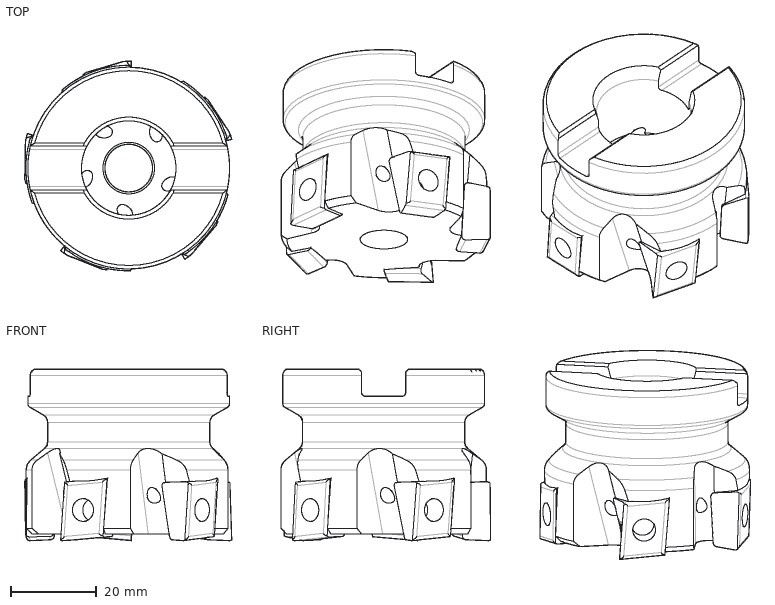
import cadquery as cq
import math

body_height = 38.5
body_radius = 24.0
body_bottom_chamfer = 1.35
shoulder_fillet = 3.0
shoulder_slope = 40.0
neck_radius = 18.95
neck_fillet = 2.0
neck_bottom = 21.55
flange_radius = 23.55
flange_slope = 30.0
flange_underside = 29.9
flange_edge_fillet = 1.0
flange_edge_inset = 0.85
flange_edge_drop = 1.4

bore_radius = 11.0
bore_depth = 20.55
bore_mouth_radius = 11.9
bore_mouth_depth = 3.6
bolt_hole_radius = 5.55
bolt_hole_chamfer = 0.5

slot_width = 10.25
slot_depth = 6.25
slot_floor_fillet = 0.8
slot_edge_chamfer = 0.7

tip_angles = [15.8, 88.8, 161.3, 230.7, 301.8]
face_offset = 17.8

seat_distance = 17.45
face_distance = 24.05
face_tilt = 0.8
land_width = 0.95
land_drop = 0.3
tip_y = -7.75
rake_y = -5.65
back_y = 2.85
edge_shift = 1.1
rake_shift = -3.35
insert_height = 13.65
insert_bottom = -1.55
end_slope = 5.0
end_fillet = 0.95
insert_hole_radius = 2.65
insert_hole_y = -1.95
insert_hole_z = 5.65

gullet_x = 14.9
gullet_y = -13.05
gullet_level = 13.45
gullet_top = 22.55
gullet_radius = 3.6
gullet_sweep = 102.0
gullet_wall_angle = 18.0
gullet_floor_turn = 11.0
gullet_lean = 14.0
gullet_reach = 19.6

coolant_radius = 1.45
coolant_inlet = cq.Vector(6.02, -8.42, body_height - bore_depth)
coolant_outlet = cq.Vector(16.2, -9.25, body_height - 30.35)


def polar(length, angle):
    """Plane coordinates of a point at a distance and an angle in degrees."""
    return (length * math.cos(math.radians(angle)), length * math.sin(math.radians(angle)))


def turned_body():
    """Solid of revolution: toothed end, waisted neck and flange."""
    shoulder_rise = (body_radius - neck_radius) * math.tan(math.radians(shoulder_slope))
    half_turn = math.radians((90 - shoulder_slope) / 2)
    neck_corner = neck_bottom - neck_fillet * math.tan(half_turn)
    shoulder_corner = neck_corner - shoulder_rise
    flange_rise = (flange_radius - neck_radius) * math.tan(math.radians(flange_slope))
    flange_neck_corner = flange_underside - flange_rise
    edge_radius = (flange_edge_inset**2 + flange_edge_drop**2) / (2 * flange_edge_inset)
    half_edge_turn = math.asin(flange_edge_drop / edge_radius) / 2
    edge_middle = (
        flange_radius - edge_radius * (1 - math.cos(half_edge_turn)),
        body_height - flange_edge_drop + edge_radius * math.sin(half_edge_turn),
    )
    turned = (
        cq.Workplane("XZ")
        .polyline([
            (0, 0),
            (body_radius - body_bottom_chamfer, 0),
            (body_radius, body_bottom_chamfer),
            (body_radius, shoulder_corner),
            (neck_radius, neck_corner),
            (neck_radius, flange_neck_corner),
            (flange_radius, flange_underside),
            (flange_radius, body_height - flange_edge_drop),
        ])
        .threePointArc(edge_middle, (flange_radius - flange_edge_inset, body_height))
        .lineTo(0, body_height)
        .close()
        .revolve(360, (0, 0, 0), (0, 1, 0))
    )

    def ring(radius, height):
        """Sharp circular edge of the turned body, the only one at its height."""
        reach = radius + 0.5
        slack = 0.05
        low = (-reach, -reach, height - slack)
        high = (reach, reach, height + slack)
        return turned.edges(cq.selectors.BoxSelector(low, high, boundingbox=True))

    turned = ring(body_radius, shoulder_corner).fillet(shoulder_fillet)
    turned = ring(neck_radius, neck_corner).fillet(neck_fillet)
    turned = ring(neck_radius, flange_neck_corner).fillet(neck_fillet)
    return ring(flange_radius, flange_underside).fillet(flange_edge_fillet)


def arbor_bore():
    """Arbor bore with a tapered mouth, and the bolt hole through its floor."""
    floor = body_height - bore_depth
    return (
        cq.Workplane("XZ")
        .polyline([
            (0, 0),
            (bolt_hole_radius, 0),
            (bolt_hole_radius, floor - bolt_hole_chamfer),
            (bolt_hole_radius + bolt_hole_chamfer, floor),
            (bore_radius, floor),
            (bore_radius, body_height - bore_mouth_depth),
            (bore_mouth_radius, body_height),
            (0, body_height),
        ])
        .close()
        .revolve(360, (0, 0, 0), (0, 1, 0))
    )


def drive_slot():
    """Slot across the flange, with rounded floor corners and 45 degree bevelled mouth."""
    length = 2 * body_radius
    slot = (
        cq.Workplane("XY", origin=(0, 0, body_height - slot_depth))
        .box(length, slot_width, slot_depth, centered=(True, True, False))
        .edges("|X and <Z")
        .fillet(slot_floor_fillet)
    )
    half_mouth = slot_width / 2 + slot_edge_chamfer
    mouth = (
        cq.Workplane("YZ", origin=(-length / 2, 0, 0))
        .polyline([
            (-half_mouth, body_height),
            (half_mouth, body_height),
            (0, body_height - half_mouth),
        ])
        .close()
        .extrude(length)
    )
    return slot.union(mouth)


def insert_outline(share):
    """Plan outline of the insert sides at a share of its height."""
    shift = edge_shift * share
    return [
        (seat_distance, rake_y + rake_shift * share),
        (face_distance - land_drop, tip_y + shift),
        (face_distance, tip_y + land_width + shift),
        (face_distance, back_y - land_width + shift),
        (face_distance - land_drop, back_y + shift),
        (seat_distance, back_y + shift),
    ]


def insert_blank():
    """Insert without its screw hole, set tilted in its own frame."""
    overrun = 0.2
    sides = (
        cq.Workplane("XY", origin=(0, 0, insert_bottom - overrun * insert_height))
        .polyline(insert_outline(-overrun))
        .close()
        .workplane(offset=(1 + 2 * overrun) * insert_height)
        .polyline(insert_outline(1 + overrun))
        .close()
        .loft(ruled=True)
    )
    slope = math.radians(end_slope)
    along_ends = cq.Plane(
        origin=(seat_distance, tip_y, insert_bottom),
        xDir=(1, 0, 0),
        normal=(0, math.cos(slope), math.sin(slope)),
    )
    depth = face_distance - seat_distance
    rise = insert_height * math.cos(slope)
    ends = (
        cq.Workplane(along_ends)
        .center(depth / 2, -rise / 2)
        .rect(depth, rise)
        .extrude(2 * insert_height, both=True)
        .edges(cq.selectors.ParallelDirSelector(along_ends.zDir))
        .fillet(end_fillet)
    )
    blank = sides.intersect(ends)
    hinge = cq.Vector(face_distance, 0, insert_bottom)
    return blank.rotate(hinge, hinge + cq.Vector(0, 0.5, 0), face_tilt)


def insert_hole():
    """Screw hole through the thickness of the insert."""
    return (
        cq.Workplane("YZ", origin=(0, insert_hole_y, insert_hole_z))
        .circle(insert_hole_radius)
        .extrude(2 * face_distance)
    )


def gullet():
    """Leaning cutter with a flat floor, a rounded part and a wall above the insert."""
    lean = math.radians(gullet_lean)
    turn = math.radians(gullet_floor_turn)
    across = cq.Plane(
        origin=(gullet_x, gullet_y, gullet_level),
        xDir=(math.cos(turn), math.sin(turn), 0),
        normal=(math.sin(lean) * math.sin(turn), -math.sin(lean) * math.cos(turn), math.cos(lean)),
    )

    def on_round(sweep):
        x, y = polar(gullet_radius, 180 - sweep)
        return (gullet_radius + x, y)

    wall_start = on_round(gullet_sweep)
    wall_run = polar(gullet_reach, gullet_wall_angle)
    return (
        cq.Workplane(across)
        .workplane(offset=gullet_top - gullet_level)
        .moveTo(0, -gullet_reach)
        .lineTo(0, 0)
        .threePointArc(on_round(gullet_sweep / 2), wall_start)
        .lineTo(wall_start[0] + wall_run[0], wall_start[1] + wall_run[1])
        .lineTo(gullet_reach, -gullet_reach)
        .close()
        .extrude(-body_height)
    )


def coolant_hole():
    """Round hole that overruns both of its mouths."""
    overrun = coolant_radius
    direction = (coolant_outlet - coolant_inlet).normalized()
    length = (coolant_outlet - coolant_inlet).Length + 2 * overrun
    start = coolant_inlet - direction * overrun
    return cq.Workplane(cq.Solid.makeCylinder(coolant_radius, length, start, direction))


def at_tooth(part, tip_angle):
    """Turn a part from the insert frame to its tooth."""
    return part.rotate((0, 0, 0), (0, 0, 1), tip_angle + face_offset)


blank = insert_blank()
insert = blank.cut(insert_hole())
inserts = [at_tooth(insert, angle) for angle in tip_angles]

cutter = turned_body().cut(arbor_bore()).cut(drive_slot())
for angle in tip_angles:
    for cavity in (gullet(), blank, coolant_hole()):
        cutter = cutter.cut(at_tooth(cavity, angle))

result = cq.Compound.makeCompound([cutter.val(), *[placed.val() for placed in inserts]])